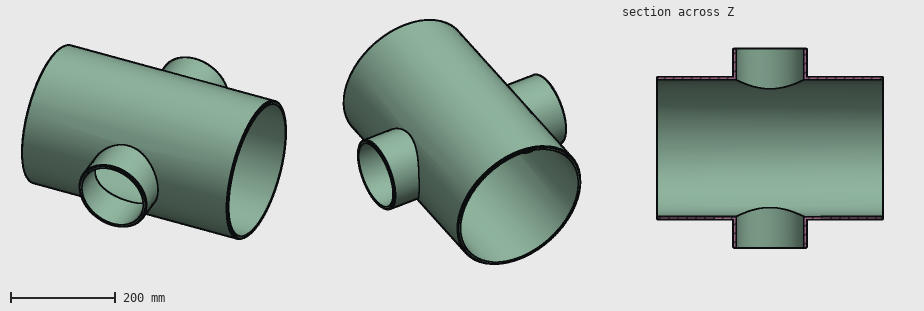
import cadquery as cq

RUN_LENGTH = 431.8
RUN_DIAMETER = 273.05
BRANCH_SPAN = 381.0
BRANCH_DIAMETER = 141.3
WALL = 6.35
BEVEL = 2.1


def bevelled_bar(length, diameter):
    """Solid bar along X, centred on the origin, bevelled at both ends."""
    radius = diameter / 2
    end_radius = radius - BEVEL
    half = length / 2
    shoulder = half - BEVEL
    profile = [
        (-half, 0),
        (-half, end_radius),
        (-shoulder, radius),
        (shoulder, radius),
        (half, end_radius),
        (half, 0),
    ]
    return cq.Workplane("XZ").polyline(profile).close().revolve(360, (0, 0, 0), (1, 0, 0))


def bore(length, diameter):
    """Cylinder along X that fills the inside of a pipe."""
    bore_radius = diameter / 2 - WALL
    return cq.Workplane("YZ").circle(bore_radius).extrude(length / 2, both=True)


def turned_to_y(body):
    """Turn a body lying along X so that it lies along Y."""
    return body.rotate((0, 0, 0), (0, 0, 1), 90)


run_body = bevelled_bar(RUN_LENGTH, RUN_DIAMETER)
branch_body = turned_to_y(bevelled_bar(BRANCH_SPAN, BRANCH_DIAMETER))

run_bore = bore(RUN_LENGTH, RUN_DIAMETER)
branch_bore = turned_to_y(bore(BRANCH_SPAN, BRANCH_DIAMETER))

result = run_body.union(branch_body).cut(run_bore).cut(branch_bore)